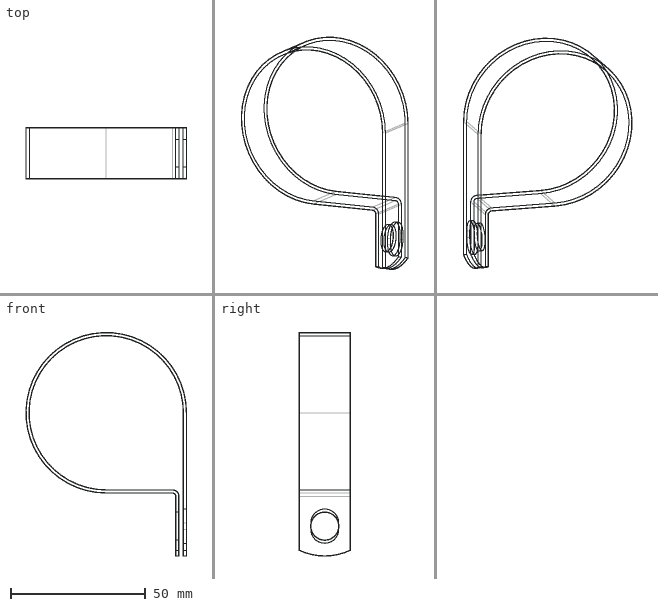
import cadquery as cq
import math

strip_thickness = 1.22
strip_width = 19.05

loop_inner_diameter = 57.15
inner_radius = loop_inner_diameter / 2
outer_radius = inner_radius + strip_thickness

leg_gap = 1.58
bend_inner_radius = 1.22
bend_outer_radius = bend_inner_radius + strip_thickness
leg_end_z = -53.165
end_arc_radius = 22.225

hole_diameter = 10.32
slot_length = 12.7
hole_to_leg_end = 11.11
hole_z = leg_end_z + hole_to_leg_end

short_leg_outer_x = inner_radius - leg_gap
short_leg_inner_x = short_leg_outer_x - strip_thickness
bend_center_x = short_leg_outer_x - bend_outer_radius
bend_center_z = -outer_radius - bend_inner_radius


def loop_point(radius, angle):
    """XZ point on a circle about the loop centre, angle in degrees from +X."""
    return (radius * math.cos(math.radians(angle)), radius * math.sin(math.radians(angle)))


def bend_middle(radius):
    """XZ point halfway round the short leg's quarter bend."""
    offset = radius * math.cos(math.radians(45))
    return (bend_center_x + offset, bend_center_z + offset)


def make_strip():
    """Bent strip: long leg, three-quarter loop, flat bottom run, bend and short leg."""
    loop_middle_angle = 135
    return (
        cq.Workplane("XZ")
        .moveTo(outer_radius, leg_end_z)
        .lineTo(outer_radius, 0)
        .threePointArc(loop_point(outer_radius, loop_middle_angle), (0, -outer_radius))
        .lineTo(bend_center_x, -outer_radius)
        .threePointArc(bend_middle(bend_inner_radius), (short_leg_inner_x, bend_center_z))
        .lineTo(short_leg_inner_x, leg_end_z)
        .lineTo(short_leg_outer_x, leg_end_z)
        .lineTo(short_leg_outer_x, bend_center_z)
        .threePointArc(bend_middle(bend_outer_radius), (bend_center_x, -inner_radius))
        .lineTo(0, -inner_radius)
        .threePointArc(loop_point(inner_radius, loop_middle_angle), (inner_radius, 0))
        .lineTo(inner_radius, leg_end_z)
        .close()
        .extrude(strip_width / 2, both=True)
    )


def make_rounded_envelope():
    """Block around the whole clip whose lower edge is the arc of the leg ends."""
    half_width = strip_width / 2
    corner_z = leg_end_z + end_arc_radius - math.sqrt(end_arc_radius**2 - half_width**2)
    return (
        cq.Workplane("YZ")
        .moveTo(-half_width, outer_radius)
        .lineTo(-half_width, corner_z)
        .threePointArc((0, leg_end_z), (half_width, corner_z))
        .lineTo(half_width, outer_radius)
        .close()
        .extrude(outer_radius, both=True)
    )


def make_bolt_hole():
    """Cylinder along X that pierces both legs."""
    return (
        cq.Workplane("YZ")
        .center(0, hole_z)
        .circle(hole_diameter / 2)
        .extrude(outer_radius)
    )


def make_bolt_slot():
    """Upright slot along X that pierces the long leg only."""
    upright = 90
    return (
        cq.Workplane("YZ", origin=(inner_radius, 0, hole_z))
        .slot2D(slot_length, hole_diameter, upright)
        .extrude(strip_thickness)
    )


result = (
    make_strip()
    .intersect(make_rounded_envelope())
    .cut(make_bolt_hole())
    .cut(make_bolt_slot())
)